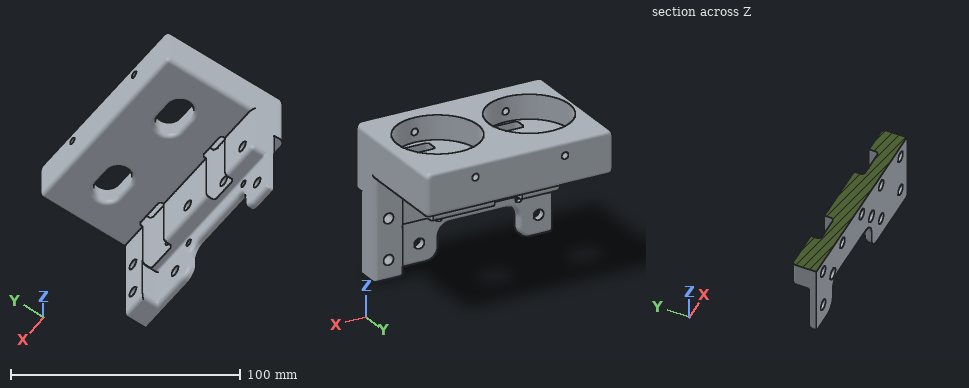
import cadquery as cq

WIDTH = 94.0
DEPTH = 64.0
HEIGHT = 71.5
SIDE = WIDTH / 2

HEAD_BOTTOM = 50.0
PLATE_TOP = 40.0
PLATE_FRONT = 6.0
PLATE_BACK = 18.0

FRONT_RADIUS = 3.0
BACK_RADIUS = 2.0
FLOOR_RADIUS = 1.0
EDGE_TOLERANCE = 0.1

FLOOR_BACK = 10.0
LEDGE_HEIGHT = 23.0
BLOCK_LEFT = 33.0

NOTCH_LEFT = -30.0
NOTCH_RIGHT = 10.0
NOTCH_HEIGHT = 16.5
NOTCH_RADIUS = 6.0
FOOT_RADIUS = 1.0

HOLE_PITCH = 20.0
SCREW_DIAMETER = 5.0
UPPER_ROW_HEIGHT = 30.0
UPPER_ROW = [-2, -1, 0, 1, 2]
LOWER_ROW_HEIGHT = UPPER_ROW_HEIGHT - HOLE_PITCH
LOWER_ROW = [-2, 1, 2]
TAPER_HEIGHT = 20.0
TAPER_FRONT_DIAMETER = 5.5
TAPER_BACK_DIAMETER = 3.2

WELL_CENTRES = [(-22.75, 31.75), (22.5, 30.5)]
WELL_DIAMETER = 40.4
WELL_DEPTH = 12.0
WELL_FLOOR = HEIGHT - WELL_DEPTH

STATION_X = [-22.5, 22.5]
SLOT_Y = 42.0
SLOT_LENGTH = 20.0
SLOT_WIDTH = 12.0
WINDOW_FRONT = 13.3
WINDOW_BACK = 20.1
WINDOW_SPANS = [(-27.2, -13.4), (17.5, 32.8)]
WINDOW_RADIUS = 1.5

PIN_DIAMETER = 3.3
PIN_HEIGHT = 64.5


def box_between(x_range, y_range, z_range):
    """Box filling the given X, Y and Z ranges."""
    sizes = [high - low for low, high in (x_range, y_range, z_range)]
    corner = (x_range[0], y_range[0], z_range[0])
    return cq.Workplane("XY").box(*sizes, centered=False).translate(corner)


def edges_in(body, x_range, y_range, z_range):
    """Edges lying wholly inside the given ranges."""
    low = [r[0] - EDGE_TOLERANCE for r in (x_range, y_range, z_range)]
    high = [r[1] + EDGE_TOLERANCE for r in (x_range, y_range, z_range)]
    return body.edges(cq.selectors.BoxSelector(low, high, boundingbox=True))


def make_body():
    """Head and plate as one stepped profile, with the thinned foot cut from its back."""
    profile = [
        (0, PLATE_TOP),
        (0, HEIGHT),
        (DEPTH, HEIGHT),
        (DEPTH, HEAD_BOTTOM),
        (PLATE_BACK, HEAD_BOTTOM),
        (PLATE_BACK, 0),
        (PLATE_FRONT, 0),
        (PLATE_FRONT, PLATE_TOP),
    ]
    body = cq.Workplane("YZ").polyline(profile).close().extrude(SIDE, both=True)
    thinning = box_between((-SIDE, BLOCK_LEFT), (FLOOR_BACK, PLATE_BACK), (0, LEDGE_HEIGHT))
    return body.cut(thinning)


def round_head(body):
    """Round the top, the front corners and the back of the head, with the plate edges below it."""
    full_x = (-SIDE, SIDE)
    full_y = (0, DEPTH)
    front = edges_in(body, full_x, (0, 0), (HEIGHT, HEIGHT))
    for x in full_x:
        front = front.add(edges_in(body, (x, x), (0, 0), (PLATE_TOP, HEIGHT)))
        front = front.add(edges_in(body, (x, x), full_y, (HEIGHT, HEIGHT)))
    body = front.fillet(FRONT_RADIUS)

    back = edges_in(body, full_x, (DEPTH, DEPTH), (HEAD_BOTTOM, HEIGHT))
    for x in full_x:
        back = back.add(edges_in(body, (x, x), (PLATE_BACK, DEPTH), (HEAD_BOTTOM, HEAD_BOTTOM)))
        back = back.add(edges_in(body, (x, x), (PLATE_BACK, PLATE_BACK), (0, HEAD_BOTTOM)))
    ledge = (LEDGE_HEIGHT, LEDGE_HEIGHT)
    back = back.add(edges_in(body, (-SIDE, -SIDE), (FLOOR_BACK, PLATE_BACK), ledge))
    back = back.add(edges_in(body, (-SIDE, BLOCK_LEFT), (PLATE_BACK, PLATE_BACK), ledge))
    back = back.add(edges_in(body, (BLOCK_LEFT, SIDE), (FLOOR_BACK, PLATE_BACK), (0, 0)))
    return back.fillet(BACK_RADIUS)


def cut_notch(body):
    """Cut the notch with rounded inner and mouth corners."""
    radius = NOTCH_RADIUS
    notch = (
        cq.Workplane("XZ")
        .moveTo(NOTCH_LEFT - radius, 0)
        .radiusArc((NOTCH_LEFT, radius), -radius)
        .lineTo(NOTCH_LEFT, NOTCH_HEIGHT - radius)
        .radiusArc((NOTCH_LEFT + radius, NOTCH_HEIGHT), radius)
        .lineTo(NOTCH_RIGHT - radius, NOTCH_HEIGHT)
        .radiusArc((NOTCH_RIGHT, NOTCH_HEIGHT - radius), radius)
        .lineTo(NOTCH_RIGHT, radius)
        .radiusArc((NOTCH_RIGHT + radius, 0), -radius)
        .close()
        .extrude(-PLATE_BACK)
    )
    return body.cut(notch)


def round_foot(body):
    """Round the rim of the thinned plate, its inner corners and the lower corners of the foot."""
    floor = (FLOOR_BACK, FLOOR_BACK)
    floor_x = (-SIDE, BLOCK_LEFT)
    foot = (0, 0)
    left = (-SIDE, -SIDE)
    below_ledge = (0, LEDGE_HEIGHT - FLOOR_RADIUS)
    body = edges_in(body, floor_x, floor, below_ledge).fillet(BACK_RADIUS)
    side_rim = (BACK_RADIUS, LEDGE_HEIGHT + BACK_RADIUS)
    body = edges_in(body, left, floor, side_rim).fillet(FLOOR_RADIUS)

    inner = edges_in(body, floor_x, floor, (LEDGE_HEIGHT, LEDGE_HEIGHT))
    inner = inner.add(edges_in(body, (BLOCK_LEFT, BLOCK_LEFT), floor, (0, LEDGE_HEIGHT)))
    body = inner.fillet(FLOOR_RADIUS)

    corners = edges_in(body, left, (PLATE_FRONT, FLOOR_BACK), foot)
    corners = corners.add(edges_in(body, (SIDE, SIDE), (PLATE_FRONT, PLATE_BACK), foot))
    return corners.fillet(FOOT_RADIUS)


def horizontal_hole(x, z, diameter):
    """Cylinder along Y through the whole part."""
    return cq.Workplane("XZ").center(x, z).circle(diameter / 2).extrude(-DEPTH)


def tapered_hole(x, z):
    """Cone along Y through the thinned plate, narrowing toward the back."""
    return cq.Workplane(
        cq.Solid.makeCone(
            TAPER_FRONT_DIAMETER / 2,
            TAPER_BACK_DIAMETER / 2,
            FLOOR_BACK - PLATE_FRONT,
            pnt=cq.Vector(x, PLATE_FRONT, z),
            dir=cq.Vector(0, 1, 0),
        )
    )


def cut_plate_holes(body):
    """Two rows of screw holes, and a tapered hole above each side of the notch."""
    for column in UPPER_ROW:
        body = body.cut(horizontal_hole(column * HOLE_PITCH, UPPER_ROW_HEIGHT, SCREW_DIAMETER))
    for column in LOWER_ROW:
        body = body.cut(horizontal_hole(column * HOLE_PITCH, LOWER_ROW_HEIGHT, SCREW_DIAMETER))
    for x in (NOTCH_LEFT, NOTCH_RIGHT):
        body = body.cut(tapered_hole(x, TAPER_HEIGHT))
    return body


def cut_well(body, centre):
    """Blind round well sunk from the top of the head."""
    well = cq.Workplane("XY", origin=(*centre, WELL_FLOOR)).circle(WELL_DIAMETER / 2).extrude(WELL_DEPTH)
    return body.cut(well)


def cut_slot(body, x):
    """Slot through the floor of a well, its lower rim rounded."""
    slot = cq.Workplane("XY").center(x, SLOT_Y).slot2D(SLOT_LENGTH, SLOT_WIDTH).extrude(WELL_FLOOR)
    body = body.cut(slot)
    slot_x = (x - SLOT_LENGTH / 2, x + SLOT_LENGTH / 2)
    slot_y = (SLOT_Y - SLOT_WIDTH / 2, SLOT_Y + SLOT_WIDTH / 2)
    return edges_in(body, slot_x, slot_y, (HEAD_BOTTOM, HEAD_BOTTOM)).fillet(BACK_RADIUS)


def cut_window(body, centre, x_range):
    """Rounded window inside a well, carried straight down through the plate."""
    window = box_between(x_range, (WINDOW_FRONT, WINDOW_BACK), (0, WELL_FLOOR))
    window = window.edges("|Z").fillet(WINDOW_RADIUS)
    shadow = cq.Workplane("XY").center(*centre).circle(WELL_DIAMETER / 2).extrude(WELL_FLOOR)
    return body.cut(window.intersect(shadow))


def cut_pin_hole(body, x):
    """Cross hole through the front and back walls of a well."""
    return body.cut(horizontal_hole(x, PIN_HEIGHT, PIN_DIAMETER))


result = make_body()
result = round_head(result)
result = cut_notch(result)
result = round_foot(result)
result = cut_plate_holes(result)
for well_centre, station_x, window_span in zip(WELL_CENTRES, STATION_X, WINDOW_SPANS):
    result = cut_well(result, well_centre)
    result = cut_slot(result, station_x)
    result = cut_window(result, well_centre, window_span)
    result = cut_pin_hole(result, station_x)